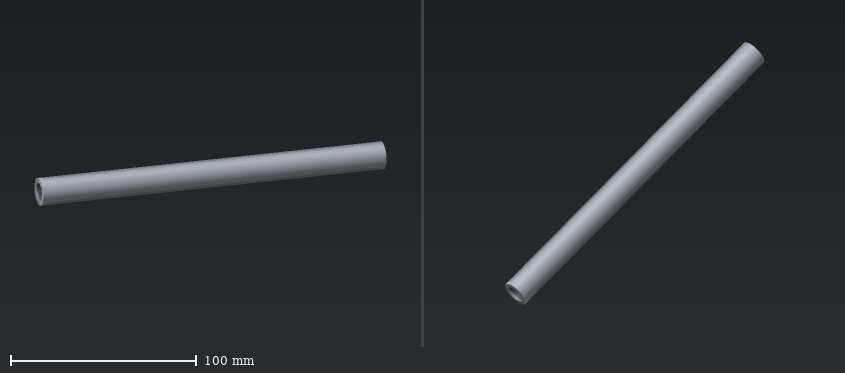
import cadquery as cq

length = 195.0
outer_diameter = 15.0
bore_diameter = 10.0

result = (
    cq.Workplane("XZ", origin=(0, length / 2, 0))
    .circle(outer_diameter / 2)
    .circle(bore_diameter / 2)
    .extrude(length)
)